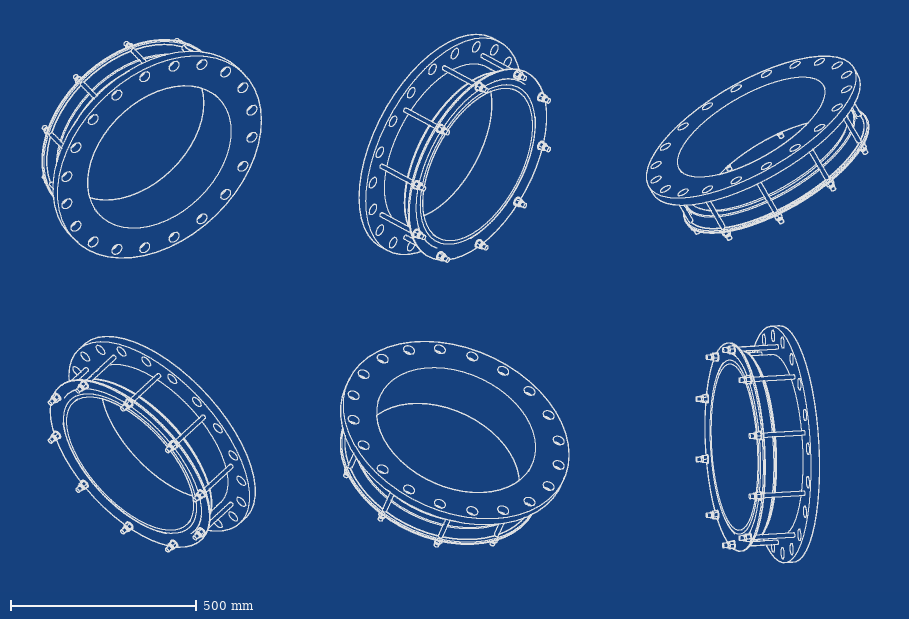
import cadquery as cq

flange_diameter = 640.0
flange_thickness = 24.0
overall_length = 178.0
bore_diameter = 450.0
flange_hole_diameter = 31.0
flange_hole_circle = 587.5
flange_hole_count = 20

barrel_diameter = 487.0
barrel_start = 79.5
neck_diameter = 472.0

socket_start = 37.0
socket_end = 71.0
socket_diameter = 516.0
socket_rim_diameter = 541.5
socket_rim_thickness = 2.0
socket_fillet = 4.0
socket_bevel_length = 4.0
socket_bevel_depth = 1.0

ring_start = 31.0
ring_diameter = 564.0
ring_bore_diameter = 504.0
ring_mouth_fillet = 4.0
ring_edge_chamfer = 2.5

sleeve_start = 32.0
lip_inner_diameter = 471.0
lip_outer_diameter = 476.0
lip_setback = 1.0
groove_bottom_diameter = 489.0
groove_depth = 5.0
groove_bulge = 1.0

stud_count = 10
stud_circle = 538.0
stud_diameter = 12.0
stud_tip_diameter = 13.0
collar_diameter = 16.0
collar_start = 11.5
collar_thickness = 2.0
nut_start = 17.0
nut_thickness = 11.5
nut_corner_diameter = 22.0
nut_turn = 40.0
washer_diameter = 24.0

flange_start = overall_length - flange_thickness
washer_start = nut_start + nut_thickness


def disc(start, end, diameter):
    """Cylinder about the X axis between two positions along it."""
    return cq.Workplane("YZ", origin=(start, 0, 0)).circle(diameter / 2).extrude(end - start)


def make_body():
    """Flange, barrel, neck and socket, solid inside."""
    flange = disc(flange_start, overall_length, flange_diameter)
    hole_pitch = 360 / flange_hole_count
    holes = (
        cq.Workplane("YZ", origin=(flange_start, 0, 0))
        .polarArray(flange_hole_circle / 2, hole_pitch / 2, 360, flange_hole_count)
        .circle(flange_hole_diameter / 2)
        .extrude(flange_thickness)
    )
    barrel = disc(barrel_start, flange_start, barrel_diameter)
    neck = disc(socket_end, barrel_start, neck_diameter)
    return flange.cut(holes).union(barrel).union(neck).union(make_socket())


def make_socket():
    """Socket with a thin front rim, a fillet behind the rim and a slight bevel at the rear."""
    rim_end = socket_start + socket_rim_thickness
    fillet_end = rim_end + socket_fillet
    radius = socket_diameter / 2
    rim_radius = socket_rim_diameter / 2
    return (
        cq.Workplane("XY")
        .moveTo(socket_start, 0)
        .lineTo(socket_start, rim_radius)
        .lineTo(rim_end, rim_radius)
        .lineTo(rim_end, radius + socket_fillet)
        .radiusArc((fillet_end, radius), -socket_fillet)
        .lineTo(socket_end - socket_bevel_length, radius)
        .lineTo(socket_end, radius - socket_bevel_depth)
        .lineTo(socket_end, 0)
        .close()
        .revolve(360, (0, 0, 0), (1, 0, 0))
    )


def make_ring():
    """Clamping ring with a bevelled rear edge, solid inside."""
    ring = disc(ring_start, socket_start, ring_diameter)
    return ring.faces(">X").edges().chamfer(ring_edge_chamfer)


def make_mouth():
    """Volume removed inside the ring: rounded mouth, gasket groove, lip and bore."""
    ring_bore = ring_bore_diameter / 2
    lip_inner = lip_inner_diameter / 2
    lip_outer = lip_outer_diameter / 2
    groove_bottom = groove_bottom_diameter / 2
    lip_start = sleeve_start + lip_setback
    groove_end = lip_start + groove_depth
    groove_middle = (groove_end + groove_bulge, (groove_bottom + ring_bore) / 2)
    mouth_end = ring_start + ring_mouth_fillet
    return (
        cq.Workplane("XY")
        .moveTo(ring_start, 0)
        .lineTo(ring_start, ring_bore + ring_mouth_fillet)
        .radiusArc((mouth_end, ring_bore), -ring_mouth_fillet)
        .threePointArc(groove_middle, (groove_end, groove_bottom))
        .lineTo(lip_start, lip_outer)
        .lineTo(sleeve_start, lip_inner)
        .lineTo(sleeve_start, bore_diameter / 2)
        .lineTo(overall_length, bore_diameter / 2)
        .lineTo(overall_length, 0)
        .close()
        .revolve(360, (0, 0, 0), (1, 0, 0))
    )


def make_stud():
    """Stud on the X axis with collar, hexagon nut and washer."""
    tip = disc(0, washer_start, stud_tip_diameter)
    shank = disc(washer_start, flange_start, stud_diameter)
    collar = disc(collar_start, collar_start + collar_thickness, collar_diameter)
    nut = (
        cq.Workplane("YZ", origin=(nut_start, 0, 0))
        .transformed(rotate=(0, 0, nut_turn))
        .polygon(6, nut_corner_diameter)
        .extrude(nut_thickness)
    )
    washer = disc(washer_start, ring_start, washer_diameter)
    return tip.union(shank).union(collar).union(nut).union(washer)


result = make_body().union(make_ring()).cut(make_mouth())
stud = make_stud().translate((0, 0, stud_circle / 2))
for index in range(stud_count):
    result = result.union(stud.rotate((0, 0, 0), (1, 0, 0), index * 360 / stud_count))